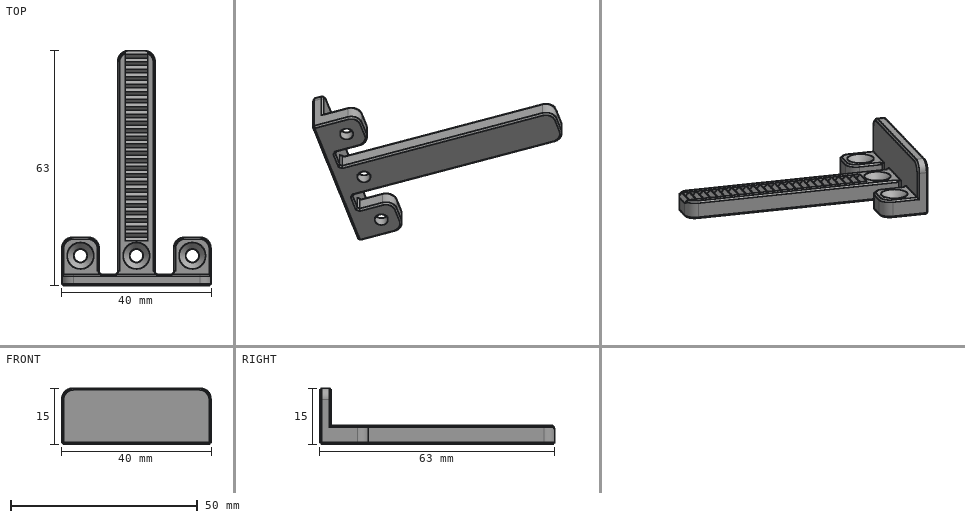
import cadquery as cq

width = 40.0
length = 63.0
height = 15.0

base_thickness = 5.0
wall_thickness = 3.0
corner_radius = 3.0
edge_chamfer = 0.5
inner_corner_chamfer = edge_chamfer

arm_width = 10.0
tab_end = 13.0
arm_spacing = (width - arm_width) / 2
arm_ends = {-arm_spacing: tab_end, 0: length, arm_spacing: tab_end}

hole_y = 8.0
hole_diameter = 3.5
countersink_diameter = 7.1
countersink_angle = 90

groove_width = 6.0
groove_start = 12.0
full_grooves = 25
groove_pitch = (length - groove_start) / (full_grooves + 0.5)
groove_depth = groove_pitch / 2

pick_margin = 0.05


def block(x_size, y_size, z_size):
    """Block centred on X that starts at the front face and the underside."""
    return cq.Workplane("XY").box(x_size, y_size, z_size, centered=(True, False, False))


def edges_between(low, high):
    """Selector for edges whose centres lie between two corner points."""
    low_corner = tuple(value - pick_margin for value in low)
    high_corner = tuple(value + pick_margin for value in high)
    return cq.selectors.BoxSelector(low_corner, high_corner)


def make_wall():
    """Upright wall with its two upper corners rounded."""
    wall = block(width, wall_thickness, height)
    return wall.edges("|Y and >Z").fillet(corner_radius)


def make_arm(x, end):
    """Arm running back from the front face, with its far corners rounded."""
    arm = block(arm_width, end, base_thickness)
    return arm.edges("|Z and >Y").fillet(corner_radius).translate((x, 0, 0))


def fill_inner_corners(body):
    """Small bevels in the corners of the two gaps, where the arms meet the wall."""
    inner_tab_side = arm_spacing - arm_width / 2
    bar_side = arm_width / 2
    for x in (-inner_tab_side, -bar_side, bar_side, inner_tab_side):
        corner = edges_between((x, wall_thickness, 0), (x, wall_thickness, base_thickness))
        body = body.edges("|Z").edges(corner).chamfer(inner_corner_chamfer)
    return body


def break_edges(body):
    """Chamfer the outer rims; the junctions of arm tops and wall stay sharp."""
    arms_start = wall_thickness + inner_corner_chamfer
    arm_tops = edges_between((-width / 2, arms_start, base_thickness), (width / 2, length, base_thickness))
    rim_bottom = base_thickness + edge_chamfer
    wall_rim = edges_between((-width / 2, wall_thickness, rim_bottom), (width / 2, wall_thickness, height))

    rims = body.faces("<Y or <Z").edges()
    rims = rims.add(body.edges(arm_tops)).add(body.edges(wall_rim))
    return rims.chamfer(edge_chamfer)


def cut_screw_holes(body):
    """Through hole with a countersink flush with the top of every arm."""
    return (
        body.copyWorkplane(cq.Workplane("XY", origin=(0, 0, base_thickness)))
        .pushPoints([(x, hole_y) for x in arm_ends])
        .cskHole(hole_diameter, countersink_diameter, countersink_angle, depth=base_thickness)
    )


def cut_grooves(body):
    """Row of V-grooves along the top of the centre bar."""
    for index in range(full_grooves + 1):
        start = groove_start + index * groove_pitch
        groove = (
            cq.Workplane("YZ")
            .moveTo(start, base_thickness)
            .lineTo(start + groove_pitch / 2, base_thickness - groove_depth)
            .lineTo(start + groove_pitch, base_thickness)
            .close()
            .extrude(groove_width / 2, both=True)
        )
        body = body.cut(groove)
    return body


body = make_wall()
for arm_x, arm_end in arm_ends.items():
    body = body.union(make_arm(arm_x, arm_end))
body = fill_inner_corners(body)
body = break_edges(body)
body = cut_screw_holes(body)
result = cut_grooves(body)